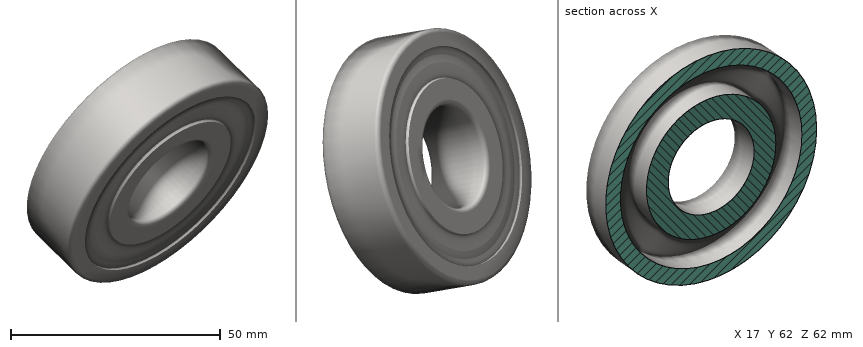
import cadquery as cq

outer_radius = 31.0
bore_radius = 12.5
width = 17.0
corner_radius = 1.1

inner_ring_outer_radius = 19.05
inner_ring_face_radius = 18.8
outer_ring_bore_radius = 26.55

shield_recess = 0.7
shield_thickness = 1.0
groove_depth = 0.175
groove_bottom_radius = 24.7
groove_inner_radius = 22.75
shield_bore_radius = inner_ring_outer_radius


def make_outer_ring():
    """Full-width ring with both outside corners rounded."""
    half = width / 2
    return (
        cq.Workplane("XY")
        .moveTo(-half, outer_ring_bore_radius)
        .lineTo(-half, outer_radius - corner_radius)
        .radiusArc((-half + corner_radius, outer_radius), corner_radius)
        .lineTo(half - corner_radius, outer_radius)
        .radiusArc((half, outer_radius - corner_radius), corner_radius)
        .lineTo(half, outer_ring_bore_radius)
        .close()
        .revolve(360, (0, 0), (1, 0))
    )


def make_inner_ring():
    """Ring with rounded bore corners, its outside tapering from the shields to the end faces."""
    half = width / 2
    return (
        cq.Workplane("XY")
        .moveTo(-half + corner_radius, bore_radius)
        .radiusArc((-half, bore_radius + corner_radius), corner_radius)
        .lineTo(-half, inner_ring_face_radius)
        .lineTo(-half + shield_recess, inner_ring_outer_radius)
        .lineTo(half - shield_recess, inner_ring_outer_radius)
        .lineTo(half, inner_ring_face_radius)
        .lineTo(half, bore_radius + corner_radius)
        .radiusArc((half - corner_radius, bore_radius), corner_radius)
        .close()
        .revolve(360, (0, 0), (1, 0))
    )


def make_shield(side):
    """Thin washer with a shallow V groove in its outward face; side is -1 or +1 along X."""
    face_x = side * (width / 2 - shield_recess)
    groove_x = face_x - side * groove_depth
    back_x = face_x - side * shield_thickness
    profile = [
        (back_x, shield_bore_radius),
        (face_x, shield_bore_radius),
        (face_x, groove_inner_radius),
        (groove_x, groove_bottom_radius),
        (face_x, outer_ring_bore_radius),
        (back_x, outer_ring_bore_radius),
    ]
    return cq.Workplane("XY").polyline(profile).close().revolve(360, (0, 0), (1, 0))


outer_ring = make_outer_ring()
inner_ring = make_inner_ring()
shields = [make_shield(side) for side in (-1, 1)]

result = cq.Compound.makeCompound(
    [outer_ring.val(), inner_ring.val(), *[shield.val() for shield in shields]]
)